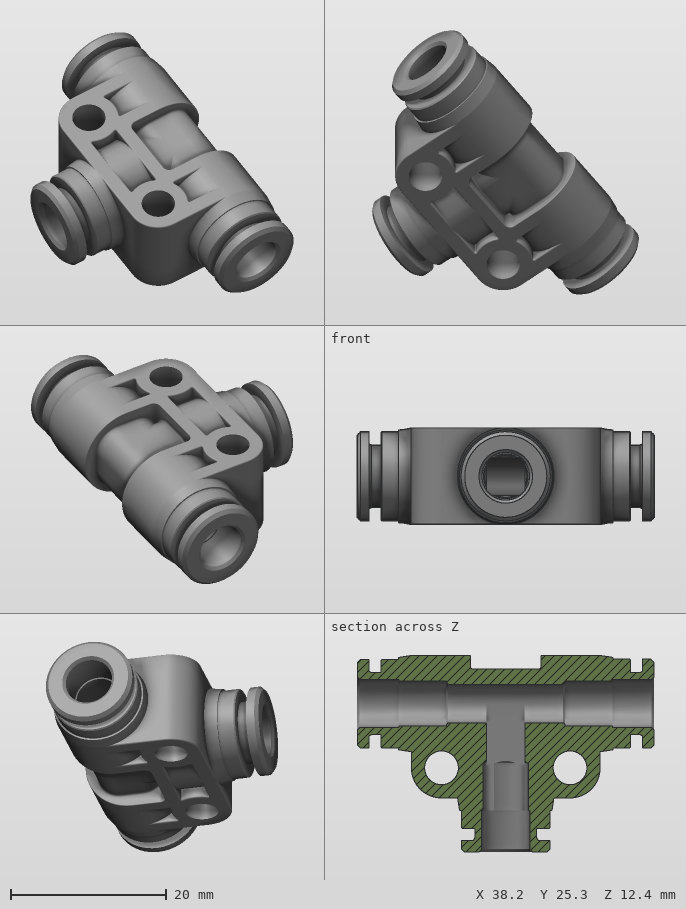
import cadquery as cq

reach = 19.1
barrel_radius = 12.4 / 2
body_reach = 12.15
collar_radius = 5.95
ring_radius = 5.73
neck_radius = 4.0
neck_root_radius = 4.15
flange_chamfer = 0.45
ring_chamfer = 0.15
flange_depth = 1.55
neck_root_depth = 1.87
ring_depth = 3.05
collar_depth = 5.3

collet_bore_radius = 3.05
collet_bore_depth = 5.35
mouth_chamfer = 0.4
seat_radius = 2.85
seat_depth = 11.45
passage_chamfer = 0.25
passage_radius = 2.45

web_corner_radius = 3.9
web_edge_round = 0.2
hole_radius = 2.15
hole_offset = body_reach - web_corner_radius
hole_wall_radius = 3.9

pocket_width = 3.75
pocket_corner_radius = 0.15

waist_half_width = 4.5
waist_corner_radius = 0.88
core_half_size = 4.47
core_round = 3.05
core_fillet = 0.25
waist_rim_round = 0.1

height = 2 * barrel_radius


def box(x_min, x_max, y_min, y_max, z_size):
    """Box between the given X and Y limits, centred on Z = 0."""
    return (
        cq.Workplane("XY")
        .box(x_max - x_min, y_max - y_min, z_size)
        .translate(((x_min + x_max) / 2, (y_min + y_max) / 2, 0))
    )


def cylinder(x, y, radius):
    """Vertical cylinder through the full height."""
    return cq.Workplane("XY", origin=(x, y, -height / 2)).circle(radius).extrude(height)


def at_every_port(shape):
    """Copies of a -Y port shape at the branch and at both run ends."""
    copies = shape
    for angle in (90, -90):
        copies = copies.union(shape.rotate((0, 0, 0), (0, 0, 1), angle))
    return copies


def port():
    """Barrel, tapered collar, ring and release flange of the -Y port, from the axis outward."""
    profile = [
        (0, 0),
        (barrel_radius, 0),
        (barrel_radius, -body_reach),
        (collar_radius, collar_depth - reach),
        (ring_radius, collar_depth - reach),
        (ring_radius, ring_depth + ring_chamfer - reach),
        (ring_radius - ring_chamfer, ring_depth - reach),
        (neck_radius, ring_depth - reach),
        (neck_radius, neck_root_depth - reach),
        (neck_root_radius, flange_depth - reach),
        (ring_radius, flange_depth - reach),
        (ring_radius, flange_chamfer - reach),
        (ring_radius - flange_chamfer, -reach),
        (0, -reach),
    ]
    return cq.Workplane("XY").polyline(profile).close().revolve(360, (0, 0, 0), (0, 1, 0))


def bore():
    """Stepped tube bore of the -Y port."""
    profile = [
        (0, 0),
        (passage_radius, 0),
        (passage_radius, seat_depth + passage_chamfer - reach),
        (passage_radius + passage_chamfer, seat_depth - reach),
        (seat_radius, seat_depth - reach),
        (seat_radius, collet_bore_depth - reach),
        (collet_bore_radius, collet_bore_depth - reach),
        (collet_bore_radius, mouth_chamfer - reach),
        (collet_bore_radius + mouth_chamfer, -reach),
        (0, -reach),
    ]
    return cq.Workplane("XY").polyline(profile).close().revolve(360, (0, 0, 0), (0, 1, 0))


def web():
    """Mounting block under the run, with its free outline and pocket rims rounded over."""
    block = box(-body_reach, body_reach, -body_reach, 0, height)
    block = block.edges("|Z and <Y").fillet(web_corner_radius)
    block = block.cut(pockets())
    return block.faces(">Z or <Z").edges("not >Y").fillet(web_edge_round)


def pocket(length, hole_ends):
    """Pocket along X, ending at the curved wall around each hole it faces."""
    shape = box(-length, length, -pocket_width / 2, pocket_width / 2, height)
    for end in hole_ends:
        shape = shape.cut(cylinder(end * hole_offset, 0, hole_wall_radius))
        corners = shape.edges("|Z and >X" if end > 0 else "|Z and <X")
        shape = corners.fillet(pocket_corner_radius)
    return shape


def pockets():
    """One pocket between the holes and one from each hole out past the run axis."""
    cuts = pocket(hole_offset, (-1, 1)).translate((0, -hole_offset, 0))
    run_pocket = pocket(hole_offset, (-1,)).rotate((0, 0, 0), (0, 0, 1), 90)
    for side in (-1, 1):
        cuts = cuts.union(run_pocket.translate((side * hole_offset, 0, 0)))
    return cuts


def waist_gap():
    """Opening between the run barrels, down to the inner edge of the web."""
    gap = box(-waist_half_width, waist_half_width, -waist_half_width, 2 * barrel_radius, height)
    return gap.edges("|Z and <Y").fillet(waist_corner_radius)


def round_waist_rim(shape):
    """Round the edges around the mouth of the waist gap, on the web and the barrel ends."""
    margin = 0.005
    half = waist_half_width + margin
    walls = shape.faces(cq.selectors.BoxSelector((-half, -half, -height), (half, reach, height)))
    return walls.edges("not |Z").fillet(waist_rim_round)


def duct():
    """Round-edged square duct along -Y, flared at the waist wall that it runs into."""
    size = 2 * core_half_size
    wall = cq.Workplane("XZ", origin=(0, -waist_half_width, 0)).rect(2 * size, 2 * size).extrude(size)
    tube = cq.Workplane("XZ").rect(size, size).extrude(waist_half_width).edges("|Y").fillet(core_round)
    flared = wall.union(tube).faces("<Y[1]").edges("not (<X or >X or <Z or >Z)").fillet(core_fillet)
    return flared.intersect(box(-size, size, -waist_half_width, 0, height))


def passage():
    """Square opening from the branch collet into the run bore."""
    size = 2 * passage_radius
    return box(-passage_radius, passage_radius, collet_bore_depth - reach, 0, size)


body = web().union(at_every_port(port()))
body = body.cut(waist_gap())
body = round_waist_rim(body)
body = body.union(at_every_port(duct()))
body = body.cut(at_every_port(bore())).cut(passage())
for side in (-1, 1):
    body = body.cut(cylinder(side * hole_offset, -hole_offset, hole_radius))

result = body